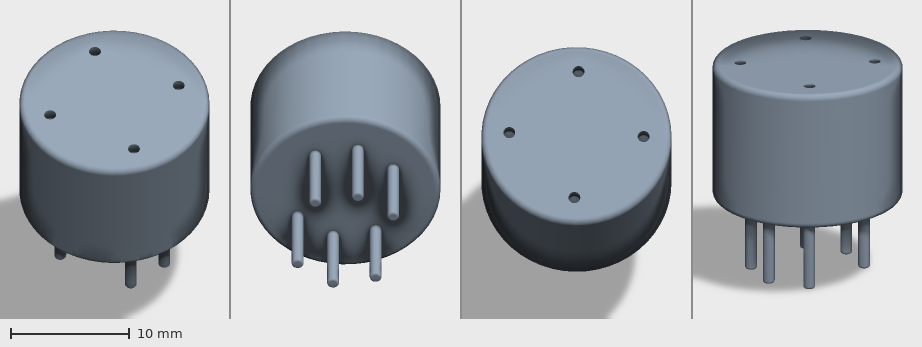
import cadquery as cq
import math

HOUSING_DIAMETER = 16.0
HOUSING_HEIGHT = 12.0
HOUSING_EDGE_RADIUS = 0.5

VENT_DIAMETER = 1.0
VENT_SPACING = 8.0
VENT_DEPTH = 1.0

TOTAL_HEIGHT = 18.5
PIN_DIAMETER = 1.0
PIN_LENGTH = TOTAL_HEIGHT - HOUSING_HEIGHT
PIN_TIP_RADIUS = 0.2
PIN_CIRCLE_RADIUS = 4.75
PIN_ANGLES = [0, 45, 135, 180, 225, 315]


def make_housing():
    """Rounded can with its bottom face at Z = 0 and the vent holes in its top."""
    can = (
        cq.Workplane("XY")
        .circle(HOUSING_DIAMETER / 2)
        .extrude(HOUSING_HEIGHT)
        .edges()
        .fillet(HOUSING_EDGE_RADIUS)
    )
    return (
        can.faces(">Z")
        .workplane()
        .rect(VENT_SPACING, VENT_SPACING, forConstruction=True)
        .vertices()
        .hole(VENT_DIAMETER, VENT_DEPTH)
    )


def make_pin(angle):
    """Round pin hanging from the bottom face, with a rounded lower tip."""
    x = PIN_CIRCLE_RADIUS * math.cos(math.radians(angle))
    y = PIN_CIRCLE_RADIUS * math.sin(math.radians(angle))
    return (
        cq.Workplane("XY")
        .center(x, y)
        .circle(PIN_DIAMETER / 2)
        .extrude(-PIN_LENGTH)
        .faces("<Z")
        .edges()
        .fillet(PIN_TIP_RADIUS)
    )


housing = make_housing()
pins = [make_pin(angle) for angle in PIN_ANGLES]

result = cq.Compound.makeCompound([housing.val(), *[pin.val() for pin in pins]])